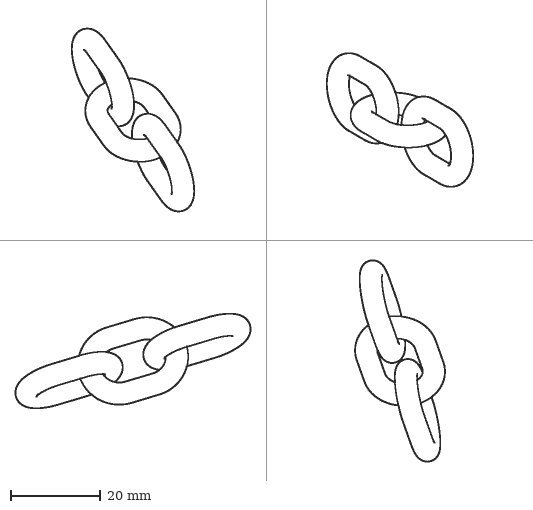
import cadquery as cq

chain_length = 55.0
link_width = 18.5
wire_diameter = 5.0
link_count = 3

link_pitch = (chain_length - 2 * wire_diameter) / link_count
link_length = link_pitch + 2 * wire_diameter
bend_radius = (link_width - wire_diameter) / 2
straight_length = link_length - link_width


def make_link():
    """One oval link of round wire, centred on the origin in the XZ plane."""
    half_straight = straight_length / 2
    bend_reach = half_straight + bend_radius
    centreline = (
        cq.Workplane("XZ")
        .moveTo(-half_straight, bend_radius)
        .lineTo(half_straight, bend_radius)
        .threePointArc((bend_reach, 0), (half_straight, -bend_radius))
        .lineTo(-half_straight, -bend_radius)
        .threePointArc((-bend_reach, 0), (-half_straight, bend_radius))
        .close()
    )
    wire_section = cq.Workplane("YZ", origin=(-half_straight, 0, bend_radius)).circle(wire_diameter / 2)
    return wire_section.sweep(centreline)


links = []
for index in range(link_count):
    centre_x = (index - (link_count - 1) / 2) * link_pitch
    turn = 90 * (index % 2)
    link = make_link().rotate((0, 0, 0), (1, 0, 0), turn).translate((centre_x, 0, 0))
    links.append(link.val())

result = cq.Compound.makeCompound(links)